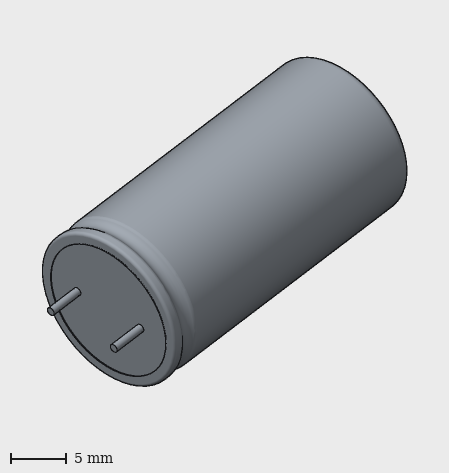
import cadquery as cq

can_diameter = 16.0
overall_length = 35.5
pin_length = 3.5
can_length = overall_length - pin_length
closed_end_fillet = 0.78
rolled_rim_fillet = 0.32

groove_center = 1.9
groove_width = 1.78
groove_depth = 0.45
groove_edge_fillet = 0.4

seal_diameter = 13.7
seal_recess = 0.1

pin_diameter = 0.8
pin_spacing = 7.5

can_radius = can_diameter / 2
sealed_end_y = -can_length / 2
closed_end_y = can_length / 2


def cylinder_along_y(diameter, start_y, length, x=0):
    """Cylinder that starts at start_y and runs toward +Y."""
    plane = cq.Plane(origin=(x, start_y, 0), xDir=(1, 0, 0), normal=(0, 1, 0))
    return cq.Workplane(plane).circle(diameter / 2).extrude(length)


def make_can():
    """Revolve the can with its crimp groove, then round its edges."""
    groove_y = sealed_end_y + groove_center
    groove_start = groove_y - groove_width / 2
    groove_end = groove_y + groove_width / 2
    can = (
        cq.Workplane("XY")
        .moveTo(0, sealed_end_y)
        .lineTo(can_radius, sealed_end_y)
        .lineTo(can_radius, groove_start)
        .threePointArc((can_radius - groove_depth, groove_y), (can_radius, groove_end))
        .lineTo(can_radius, closed_end_y)
        .lineTo(0, closed_end_y)
        .close()
        .revolve(360, (0, 0, 0), (0, 1, 0))
    )
    for edge_y in (groove_start, groove_end):
        groove_edge = cq.selectors.BoxSelector(
            (-can_diameter, edge_y - groove_edge_fillet, -can_diameter),
            (can_diameter, edge_y + groove_edge_fillet, can_diameter),
            boundingbox=True,
        )
        can = can.edges(groove_edge).fillet(groove_edge_fillet)
    can = can.faces("<Y").edges().fillet(rolled_rim_fillet)
    return can.faces(">Y").edges().fillet(closed_end_fillet)


def make_pin(x):
    """Pin that stands on the recessed seal and sticks out toward -Y."""
    tip_y = sealed_end_y - pin_length
    return cylinder_along_y(pin_diameter, tip_y, pin_length + seal_recess, x)


result = make_can().cut(cylinder_along_y(seal_diameter, sealed_end_y, seal_recess))
for pin_x in (-pin_spacing / 2, pin_spacing / 2):
    result = result.union(make_pin(pin_x))